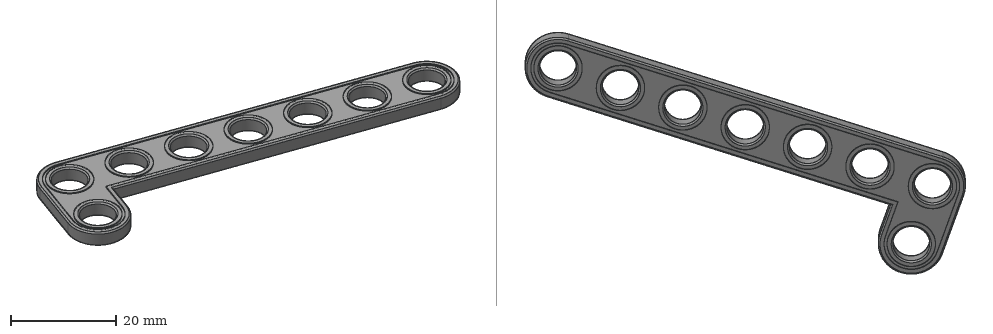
import cadquery as cq

LENGTH = 87.5
THICKNESS = 3.15
LONG_ARM_HOLES = 7
SHORT_ARM_HOLES = 2

PITCH = LENGTH / LONG_ARM_HOLES
ARM_WIDTH = PITCH
LONG_ARM_SPAN = (LONG_ARM_HOLES - 1) * PITCH
SHORT_ARM_SPAN = (SHORT_ARM_HOLES - 1) * PITCH

EDGE_CHAMFER = 0.315
HOLE_CHAMFER = EDGE_CHAMFER
HOLE_DIAMETER = 7.0

RECESS_WIDTH = 10.3
RECESS_DEPTH = 0.22
COLLAR_DIAMETER = 9.2

HOLE_CENTERS = [(0, i * PITCH) for i in range(LONG_ARM_HOLES)]
HOLE_CENTERS += [(i * PITCH, 0) for i in range(1, SHORT_ARM_HOLES)]


def l_plate(width, bottom, height):
    """L-shaped plate made of two round-ended arms that share the corner hole centre."""
    base = cq.Workplane("XY").workplane(offset=bottom)
    long_arm = base.center(0, LONG_ARM_SPAN / 2).slot2D(LONG_ARM_SPAN + width, width, 90).extrude(height)
    short_arm = base.center(SHORT_ARM_SPAN / 2, 0).slot2D(SHORT_ARM_SPAN + width, width).extrude(height)
    return long_arm.union(short_arm).clean()


def beam_body():
    """Solid beam with chamfered top and bottom outer edges."""
    return l_plate(ARM_WIDTH, 0, THICKNESS).faces("|Z").edges().chamfer(EDGE_CHAMFER)


def recess(bottom):
    """Shallow pocket inside the rim, interrupted by the collars."""
    pocket = l_plate(RECESS_WIDTH, bottom, RECESS_DEPTH)
    collar_plane = cq.Workplane("XY").workplane(offset=bottom)
    collars = collar_plane.pushPoints(HOLE_CENTERS).circle(COLLAR_DIAMETER / 2).extrude(RECESS_DEPTH)
    return pocket.cut(collars)


def pin_holes():
    """Through holes on every centre, each widened by a chamfer at both ends."""
    radius = HOLE_DIAMETER / 2
    mouth_radius = radius + HOLE_CHAMFER
    half_profile = [
        (0, 0),
        (mouth_radius, 0),
        (radius, HOLE_CHAMFER),
        (radius, THICKNESS - HOLE_CHAMFER),
        (mouth_radius, THICKNESS),
        (0, THICKNESS),
    ]
    hole = cq.Workplane("XZ").polyline(half_profile).close().revolve(360, (0, 0), (0, 1)).val()
    return cq.Workplane("XY").pushPoints(HOLE_CENTERS).eachpoint(hole.moved)


result = beam_body()
for recess_bottom in (0, THICKNESS - RECESS_DEPTH):
    result = result.cut(recess(recess_bottom))
result = result.cut(pin_holes())